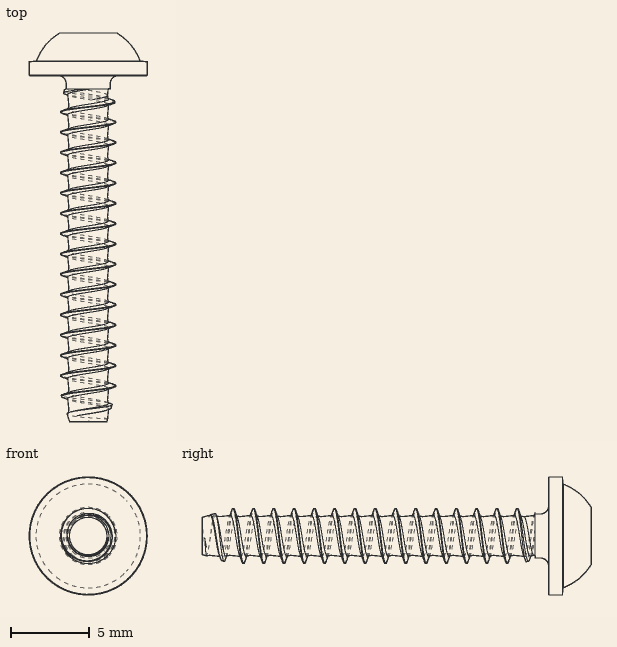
import cadquery as cq
import math


total_length = 24.7
head_height = 2.72
shank_length = total_length - head_height

flange_radius = 3.75
flange_thickness = 0.9
flange_crown = 0.05
flange_chamfer = 0.05
dome_base_radius = 3.3
dome_top_radius = 1.83

collar_radius = 1.4
collar_end = 0.85
neck_fillet = 0.5
tip_radius = 1.19
tip_dimple_depth = 0.05

crest_radius = 1.75
run_in_radius = 1.5
run_in_end = 1.88
run_out_start = 20.18

turns_per_span = 56.68
pitch = 73 / turns_per_span
first_crest = 0.05
crest_half_width = 0.02
foot_half_width = 0.17
tip_side_foot_radius = 1.3
head_side_foot_radius = 1.28
crease_radius = 1.24
crease_to_crest = 0.42
trim_overrun = 0.25


def dome_mid_point(base_z, top_z):
    """Halfway point of a dome arc whose centre lies on the screw axis."""
    rise = base_z - top_z
    centre_drop = (dome_base_radius**2 - dome_top_radius**2 - rise**2) / (2 * rise)
    sphere_radius = math.hypot(dome_base_radius, centre_drop)
    base_angle = math.atan2(centre_drop, dome_base_radius)
    top_angle = math.atan2(centre_drop + rise, dome_top_radius)
    mid_angle = (base_angle + top_angle) / 2
    return (
        sphere_radius * math.cos(mid_angle),
        base_z + centre_drop - sphere_radius * math.sin(mid_angle),
    )


def make_head():
    """Head, neck and collar, revolved about local Z with the tip at +Z."""
    dome_base_z = -flange_thickness - flange_crown
    fillet_mid = neck_fillet * (1 - math.sqrt(0.5))
    return (
        cq.Workplane("XZ")
        .moveTo(0, -head_height)
        .lineTo(dome_top_radius, -head_height)
        .threePointArc(dome_mid_point(dome_base_z, -head_height), (dome_base_radius, dome_base_z))
        .lineTo(flange_radius, -flange_thickness)
        .lineTo(flange_radius, -flange_chamfer)
        .lineTo(flange_radius - flange_chamfer, 0)
        .lineTo(collar_radius + neck_fillet, 0)
        .threePointArc(
            (collar_radius + fillet_mid, fillet_mid),
            (collar_radius, neck_fillet),
        )
        .lineTo(collar_radius, collar_end)
        .lineTo(0, collar_end)
        .close()
        .revolve(360, (0, 0, 0), (0, 1, 0))
    )


def helix_turn(point, turn):
    """One turn of the helix through an (axial place, radius) point of the thread profile."""
    axial, radius = point
    start = cq.Vector(0, 0, axial + turn * pitch)
    return cq.Wire.makeHelix(pitch, pitch, radius, start).Edges()[0]


def make_end_faces(profile, turn):
    """Faces that close the thread where the given turn begins: a radial cut and a helicoid."""
    first_z = profile[0][0] + turn * pitch
    axis_start = cq.Vector(0, 0, first_z)
    axis_end = cq.Vector(0, 0, first_z + pitch)
    corners = [cq.Vector(radius, 0, axial + turn * pitch) for axial, radius in profile]
    outline = cq.Wire.makePolygon([axis_start] + corners + [axis_end], close=True)
    axis_line = cq.Edge.makeLine(axis_start, axis_end)
    helicoid = cq.Face.makeRuledSurface(axis_line, helix_turn(profile[0], turn))
    return [cq.Face.makeFromWires(outline), helicoid]


def make_full_thread():
    """Shank with a full-height thread, overrunning the threaded length at both ends."""
    start = first_crest - pitch
    profile = [
        (start - crest_half_width, crest_radius),
        (start + crest_half_width, crest_radius),
        (start + foot_half_width, tip_side_foot_radius),
        (first_crest - crease_to_crest, crease_radius),
        (first_crest - foot_half_width, head_side_foot_radius),
        (first_crest - crest_half_width, crest_radius),
    ]
    turns = math.ceil((shank_length - profile[0][0]) / pitch)
    faces = make_end_faces(profile, 0) + make_end_faces(profile, turns)
    for turn in range(turns):
        for near, far in zip(profile, profile[1:]):
            faces.append(cq.Face.makeRuledSurface(helix_turn(near, turn), helix_turn(far, turn)))
    shell = cq.Shell.makeShell(faces)
    return cq.Workplane(obj=cq.Solid.makeSolid(shell)).rotate((0, 0, 0), (0, 0, 1), -90)


def make_trim(end_z, end_radius, full_z, dimple_depth=0):
    """Cutter that ends the thread at end_z and lowers it from full height at full_z."""
    slope = (crest_radius - end_radius) / (full_z - end_z)
    inward = math.copysign(1, full_z - end_z)
    wide_z = full_z + inward * trim_overrun
    wide_radius = crest_radius + slope * inward * trim_overrun
    outer_z = end_z - inward * 3 * pitch
    return (
        cq.Workplane("XZ")
        .polyline(
            [
                (0, end_z + inward * dimple_depth),
                (end_radius, end_z),
                (wide_radius, wide_z),
                (wide_radius, outer_z),
                (0, outer_z),
            ]
        )
        .close()
        .revolve(360, (0, 0, 0), (0, 1, 0))
    )


shank = (
    make_full_thread()
    .cut(make_trim(collar_end, run_in_radius, run_in_end))
    .cut(make_trim(shank_length, tip_radius, run_out_start, tip_dimple_depth))
)

result = make_head().union(shank).rotate((0, 0, 0), (1, 0, 0), 90)